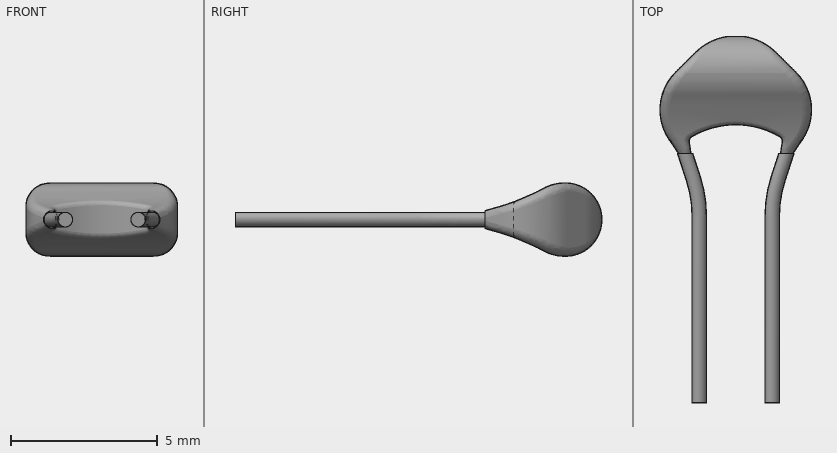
import cadquery as cq
import math

overall_length = 12.5
bulb_radius = 1.256
shoulder_y = -0.74
shoulder_radius = 1.52
foot_y = -2.74
foot_half_height = 0.31
tail_sag = 0.08

half_width = 2.59
crown_top_y = 1.28
side_radius = 1.8
side_center_y = -1.25
flank_angle = 45.0
arch_top_y = -1.76
arch_radius = 2.99
arch_half_span = 1.6
arch_corner_radius = 0.19
foot_inner_x = 1.52
foot_side_angle = -34.0
outer_fillet = 0.3
arch_fillet = 0.18
tolerance = 0.001

lead_radius = 0.25
lead_half_pitch = 1.244
bend_end_y = -4.88
bend_radius = 4.12
bend_angle = 18.0
lead_end_y = bulb_radius - overall_length


def point_on_circle(center, radius, angle):
    """Point at an angle in degrees, measured from the horizontal axis."""
    turn = math.radians(angle)
    return (center[0] + radius * math.cos(turn), center[1] + radius * math.sin(turn))


def make_teardrop():
    """Bulb and tapering tail, drawn in YZ and extruded across the whole width."""
    shoulder_center = (0, bulb_radius - shoulder_radius)
    shoulder_angle = math.degrees(math.acos(shoulder_y / shoulder_radius))
    shoulder_mid = point_on_circle(shoulder_center, shoulder_radius, (90 + shoulder_angle) / 2)
    shoulder = point_on_circle(shoulder_center, shoulder_radius, shoulder_angle)
    tail_mid = ((shoulder_y + foot_y) / 2, (shoulder[1] + foot_half_height) / 2 - tail_sag)

    def below(point):
        return (point[0], -point[1])

    return (
        cq.Workplane("YZ")
        .moveTo(0, -bulb_radius)
        .threePointArc((bulb_radius, 0), (0, bulb_radius))
        .threePointArc(shoulder_mid, shoulder)
        .threePointArc(tail_mid, (foot_y, foot_half_height))
        .lineTo(foot_y, -foot_half_height)
        .threePointArc(below(tail_mid), below(shoulder))
        .threePointArc(below(shoulder_mid), (0, -bulb_radius))
        .close()
        .extrude(half_width + 0.12, both=True)
    )


def make_outline():
    """Crown, bulging sides and two feet with an arch between them."""
    side_center = (half_width - side_radius, side_center_y)
    normal_x = math.cos(math.radians(flank_angle))
    normal_y = math.sin(math.radians(flank_angle))
    flank_distance = side_center[0] * normal_x + side_center[1] * normal_y + side_radius
    crown_radius = (flank_distance - crown_top_y * normal_y) / (1 - normal_y)
    crown_center = (0, crown_top_y - crown_radius)
    crown_end = point_on_circle(crown_center, crown_radius, flank_angle)
    side_start = point_on_circle(side_center, side_radius, flank_angle)
    side_mid = (half_width, side_center_y)
    side_end = point_on_circle(side_center, side_radius, foot_side_angle)
    foot_slope = math.tan(math.radians(foot_side_angle))
    foot_outer = (side_end[0] - (foot_y - side_end[1]) * foot_slope, foot_y)
    arch_drop = arch_radius - math.sqrt(arch_radius**2 - arch_half_span**2)
    arch_end = (arch_half_span, arch_top_y - arch_drop)

    margin = 0.06
    corner_box_low = (-arch_half_span - margin, arch_end[1] - margin, -margin)
    corner_box_high = (arch_half_span + margin, arch_end[1] + margin, margin)

    def mirrored(point):
        return (-point[0], point[1])

    return (
        cq.Workplane("XY")
        .moveTo(*mirrored(crown_end))
        .threePointArc((0, crown_top_y), crown_end)
        .lineTo(*side_start)
        .threePointArc(side_mid, side_end)
        .lineTo(*foot_outer)
        .lineTo(foot_inner_x, foot_y)
        .lineTo(*arch_end)
        .threePointArc((0, arch_top_y), mirrored(arch_end))
        .lineTo(-foot_inner_x, foot_y)
        .lineTo(*mirrored(foot_outer))
        .lineTo(*mirrored(side_end))
        .threePointArc(mirrored(side_mid), mirrored(side_start))
        .close()
        .extrude(bulb_radius + 0.12, both=True)
        .edges("|Z")
        .edges(cq.selectors.BoxSelector(corner_box_low, corner_box_high))
        .fillet(arch_corner_radius)
    )


def make_coating():
    """Teardrop trimmed to the outline, with rounded sides and a rounded arch."""
    block = make_teardrop().intersect(make_outline())

    def is_rim(edge):
        box = edge.BoundingBox()
        return box.xlen > tolerance and box.ylen > tolerance

    def is_arch(edge):
        return abs(edge.Center().x) < arch_half_span and edge.Center().y < arch_top_y

    rim = [edge for edge in block.edges().vals() if is_rim(edge)]
    outer_rim = [edge for edge in rim if not is_arch(edge)]
    block = block.newObject(outer_rim).fillet(outer_fillet)
    rim = [edge for edge in block.edges().vals() if is_rim(edge)]
    arch_rim = [edge for edge in rim if is_arch(edge)]
    return block.newObject(arch_rim).fillet(arch_fillet).solids()


def make_lead(side):
    """Wire on one side (+1 or -1): straight, bent outwards, then sloping up to the foot."""
    turn = math.radians(bend_angle)
    bend_center = (lead_half_pitch + bend_radius, bend_end_y)
    bend_mid = point_on_circle(bend_center, bend_radius, 180 - bend_angle / 2)
    bend_start = point_on_circle(bend_center, bend_radius, 180 - bend_angle)
    slope_rise = foot_y + lead_radius - bend_start[1]
    slope_top = (bend_start[0] + slope_rise * math.tan(turn), foot_y + lead_radius)
    path = (
        cq.Workplane("XY")
        .moveTo(side * lead_half_pitch, lead_end_y)
        .lineTo(side * lead_half_pitch, bend_end_y)
        .threePointArc((side * bend_mid[0], bend_mid[1]), (side * bend_start[0], bend_start[1]))
        .lineTo(side * slope_top[0], slope_top[1])
    )
    wire = (
        cq.Workplane("XZ", origin=(side * lead_half_pitch, lead_end_y, 0))
        .circle(lead_radius)
        .sweep(path)
    )
    trim = cq.Workplane("XY").box(overall_length, overall_length, overall_length)
    return wire.cut(trim.translate((0, foot_y + overall_length / 2, 0)))


coating = make_coating()
leads = [make_lead(side) for side in (-1, 1)]
result = cq.Compound.makeCompound([coating.val(), *[lead.val() for lead in leads]])